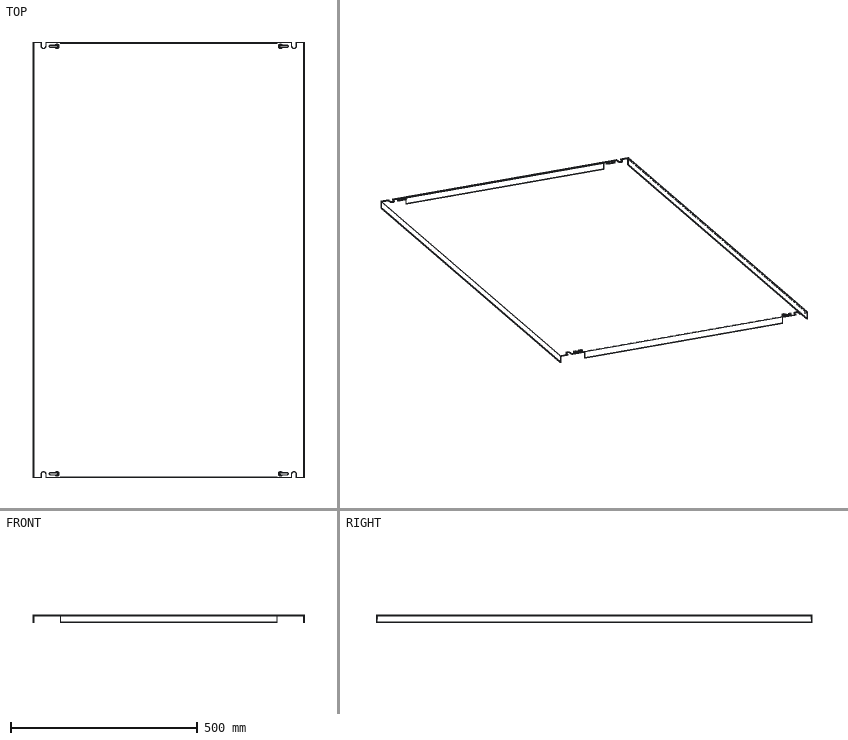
import cadquery as cq

WIDTH = 730.0
LENGTH = 1170.0
HEIGHT = 20.0
SHEET = 2.5

END_FLANGE_INSET = 73.5

NOTCH_WIDTH = 12.0
NOTCH_DEPTH = 16.0
NOTCH_INSET = 28.5

SLOT_WIDTH = 5.0
SLOT_OUTER_INSET = 44.0
SLOT_EDGE_INSET = 10.5
RECESS_DIAMETER = 12.0
RECESS_DEPTH = SHEET / 2
RECESS_INSET = 64.5

SIDES = (-1, 1)


def top_block(size_x, size_y, depth, center_x=0.0, center_y=0.0):
    """Block hanging down from the top face, which lies at Z = 0."""
    return cq.Workplane("XY").center(center_x, center_y).rect(size_x, size_y).extrude(-depth)


def flanged_sheet():
    sheet = top_block(WIDTH, LENGTH, SHEET)
    end_flange_width = WIDTH - 2 * END_FLANGE_INSET
    for side in SIDES:
        side_x = side * (WIDTH - SHEET) / 2
        end_y = side * (LENGTH - SHEET) / 2
        sheet = sheet.union(top_block(SHEET, LENGTH, HEIGHT, center_x=side_x))
        sheet = sheet.union(top_block(end_flange_width, SHEET, HEIGHT, center_y=end_y))
    return sheet


def notch(side_x, side_y):
    """Round-ended tool centred on the short edge, so that half of it cuts the sheet."""
    center_x = side_x * (WIDTH / 2 - NOTCH_INSET)
    center_y = side_y * LENGTH / 2
    outline = cq.Workplane("XY").center(center_x, center_y).slot2D(2 * NOTCH_DEPTH, NOTCH_WIDTH, 90)
    return outline.extrude(-SHEET)


def recessed_slot(side_x, side_y):
    """Through slot whose inner rounded end is concentric with a round recess."""
    slot_length = RECESS_INSET - SLOT_OUTER_INSET + SLOT_WIDTH / 2
    slot_x = side_x * (WIDTH / 2 - SLOT_OUTER_INSET - slot_length / 2)
    recess_x = side_x * (WIDTH / 2 - RECESS_INSET)
    axis_y = side_y * (LENGTH / 2 - SLOT_EDGE_INSET)
    slot = cq.Workplane("XY").center(slot_x, axis_y).slot2D(slot_length, SLOT_WIDTH).extrude(-SHEET)
    recess = cq.Workplane("XY").center(recess_x, axis_y).circle(RECESS_DIAMETER / 2).extrude(-RECESS_DEPTH)
    return slot.union(recess)


result = flanged_sheet()
for corner_x in SIDES:
    for corner_y in SIDES:
        result = result.cut(notch(corner_x, corner_y))
        result = result.cut(recessed_slot(corner_x, corner_y))